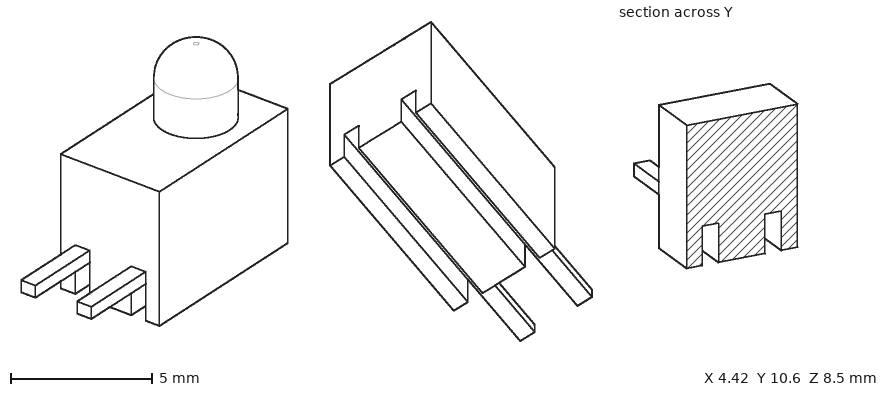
import cadquery as cq

body_width = 4.42
body_front = 5.0
body_back = 2.48
body_length = body_front + body_back
body_height = 5.48

total_height = 8.5
lens_radius = 1.5
lens_tip_radius = 0.1
lens_height = total_height - body_height
lens_rounding = lens_radius - lens_tip_radius

total_length = 10.64
lead_pitch = 2.5
lead_offset = 0.02
lead_width = 0.64
lead_thickness = 0.5
lead_top = 2.0
slot_height = lead_top - lead_thickness
lead_positions = [lead_offset - lead_pitch / 2, lead_offset + lead_pitch / 2]


def bar(width, height, length, x_center, z_bottom):
    """Rectangular bar along Y, starting at the back face of the housing."""
    y_center = body_back - length / 2
    return (
        cq.Workplane("XY", origin=(x_center, y_center, z_bottom))
        .rect(width, length)
        .extrude(height)
    )


def make_lens():
    """Round-topped LED lens standing on top of the housing."""
    return (
        cq.Workplane("XY", origin=(0, 0, body_height))
        .circle(lens_radius)
        .extrude(lens_height)
        .faces(">Z")
        .edges()
        .fillet(lens_rounding)
    )


result = bar(body_width, body_height, body_length, 0, 0).union(make_lens())

for x in lead_positions:
    result = result.cut(bar(lead_width, slot_height, body_length, x, 0))
    result = result.union(bar(lead_width, lead_thickness, total_length, x, slot_height))